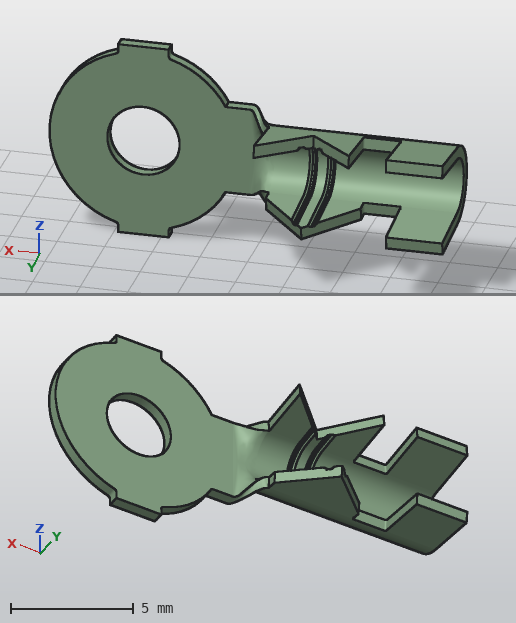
import cadquery as cq
import math

length = 17.41
sheet = 0.52

ring_radius = 3.95
hole_radius = 1.51
ring_x = length - ring_radius
ring_span = 8.43
tab_width = 2.12
tab_fillet = 0.15
neck_half_width = 1.92
neck_start_x = 8.98

barrel_length = 7.92
barrel_radius = 1.72
barrel_height = 4.05
flare_angle = math.radians(6.2)
insulation_wing_end = 2.37
wire_wing_start = 3.93
notch_depth = 2.0
gap_fillet = 0.07

groove_pitch = 0.77
groove_width = 0.31
groove_floor = 0.1
groove_depth = 0.1

pad_radius = 0.33
pad_x = 8.75

transition_steps = 6

inner_radius = barrel_radius - sheet
inner_tangent_y = barrel_radius - inner_radius * math.sin(flare_angle)
wing_length = (barrel_height - inner_tangent_y) / math.cos(flare_angle)
wire_wing_middle = (wire_wing_start + barrel_length) / 2


def curved_strip(half_angle, half_width):
    """Section of a strip bent to an arc, bottom on Y = 0, drawn with local axes (Y, Z)."""
    outer = half_width / math.sin(half_angle)
    inner = outer - sheet
    sine = math.sin(half_angle)
    cosine = math.cos(half_angle)
    return (
        cq.Workplane("YZ")
        .moveTo(outer - outer * cosine, -outer * sine)
        .threePointArc((0, 0), (outer - outer * cosine, outer * sine))
        .lineTo(outer - inner * cosine, inner * sine)
        .threePointArc((sheet, 0), (outer - inner * cosine, -inner * sine))
        .close()
    )


trough_angle = math.pi / 2 - flare_angle
trough_half_width = barrel_radius * math.sin(trough_angle)


def make_trough():
    return curved_strip(trough_angle, trough_half_width).extrude(barrel_length)


def make_wing(outline):
    """Upper wing plate from (x, distance along the wing) points on its outer face."""
    wing_face = cq.Plane(
        origin=(0, barrel_radius * (1 - math.sin(flare_angle)), trough_half_width),
        xDir=(1, 0, 0),
        normal=(0, -math.sin(flare_angle), math.cos(flare_angle)),
    )
    return cq.Workplane(wing_face).polyline(outline).close().extrude(-sheet)


def make_wings():
    notch_bottom = wing_length - notch_depth
    insulation = make_wing([
        (0, 0),
        (insulation_wing_end, 0),
        (insulation_wing_end, wing_length),
        (0, wing_length),
    ])
    notched = make_wing([
        (wire_wing_start, 0),
        (barrel_length, 0),
        (barrel_length, wing_length),
        (wire_wing_middle, notch_bottom),
        (wire_wing_start, wing_length),
    ])
    pointed = make_wing([
        (wire_wing_start, 0),
        (barrel_length, 0),
        (barrel_length, notch_bottom),
        (wire_wing_middle, wing_length),
        (wire_wing_start, notch_bottom),
    ])
    upper = insulation.union(notched)
    lower = insulation.union(pointed).mirror("XY")
    return upper.union(lower)


def make_transition():
    """Loft that opens the trough out into the flat neck."""
    run = neck_start_x - barrel_length
    wires = []
    for step in range(transition_steps):
        fraction = step / transition_steps
        blend = (1 + math.cos(math.pi * fraction)) / 2
        half_angle = trough_angle * blend
        half_width = neck_half_width + (trough_half_width - neck_half_width) * blend
        strip = curved_strip(half_angle, half_width)
        wires.append(strip.wire().val().translate(cq.Vector(barrel_length + run * fraction, 0, 0)))
    flat = (
        cq.Workplane("YZ", origin=(neck_start_x, 0, 0))
        .polyline([
            (0, -neck_half_width),
            (0, neck_half_width),
            (sheet, neck_half_width),
            (sheet, -neck_half_width),
        ])
        .close()
    )
    wires.append(flat.wire().val())
    return cq.Workplane(cq.Solid.makeLoft(wires, False))


def make_tongue():
    underside = cq.Workplane("XZ")
    ring = underside.center(ring_x, 0).circle(ring_radius).extrude(-sheet)
    tabs = underside.center(ring_x, 0).rect(tab_width, ring_span).extrude(-sheet)
    neck_length = ring_x - neck_start_x
    neck = (
        underside.center(neck_start_x + neck_length / 2, 0)
        .rect(neck_length, 2 * neck_half_width)
        .extrude(-sheet)
    )
    root_z = math.sqrt(ring_radius**2 - (tab_width / 2) ** 2)
    tongue = ring.union(tabs)
    for side in (-1, 1):
        roots = cq.selectors.BoxSelector(
            (ring_x - tab_width, -sheet, side * root_z - tab_fillet / 2),
            (ring_x + tab_width, 2 * sheet, side * root_z + tab_fillet / 2),
        )
        tongue = tongue.edges("|Y").edges(roots).fillet(tab_fillet)
    hole = underside.center(ring_x, 0).circle(hole_radius).extrude(-sheet)
    return tongue.union(neck).cut(hole)


def make_pad():
    """Round pad inside the sheet thickness, flush with the underside."""
    return cq.Workplane("XZ").center(pad_x, 0).circle(pad_radius).extrude(-sheet / 2)


def groove_profile(middle_x):
    """Tapered groove section as (x, depth) points, starting one groove depth above the surface."""
    return [
        (middle_x - groove_width / 2, -groove_depth),
        (middle_x - groove_width / 2, 0),
        (middle_x - groove_floor / 2, groove_depth),
        (middle_x + groove_floor / 2, groove_depth),
        (middle_x + groove_width / 2, 0),
        (middle_x + groove_width / 2, -groove_depth),
    ]


def make_groove(middle_x):
    """Cutter for one groove: a ring around the trough and a straight run up each wing."""
    profile = groove_profile(middle_x)
    ring = (
        cq.Workplane("XY", origin=(0, barrel_radius, 0))
        .polyline([(x, -inner_radius - depth) for x, depth in profile])
        .close()
        .revolve(360, (0, 0, 0), (1, 0, 0))
    )
    along_wing = cq.Plane(
        origin=(0, inner_tangent_y, inner_radius * math.cos(flare_angle)),
        xDir=(1, 0, 0),
        normal=(0, math.cos(flare_angle), math.sin(flare_angle)),
    )
    run = (
        cq.Workplane(along_wing)
        .polyline([(x, -depth) for x, depth in profile])
        .close()
        .extrude(wing_length)
    )
    return ring.union(run).union(run.mirror("XY"))


def fillet_wing_gap(body):
    """Round the foot of the gap between the insulation wings and the wire wings."""
    for corner_x in (insulation_wing_end, wire_wing_start):
        corners = cq.selectors.BoxSelector(
            (corner_x - gap_fillet, inner_tangent_y - sheet / 2, -ring_span / 2),
            (corner_x + gap_fillet, inner_tangent_y + sheet / 2, ring_span / 2),
            boundingbox=True,
        )
        body = body.edges(corners).fillet(gap_fillet)
    return body


barrel = fillet_wing_gap(make_trough().union(make_wings()))
for offset in (-groove_pitch / 2, groove_pitch / 2):
    barrel = barrel.cut(make_groove(wire_wing_middle + offset))

result = barrel.union(make_transition()).union(make_tongue()).union(make_pad())